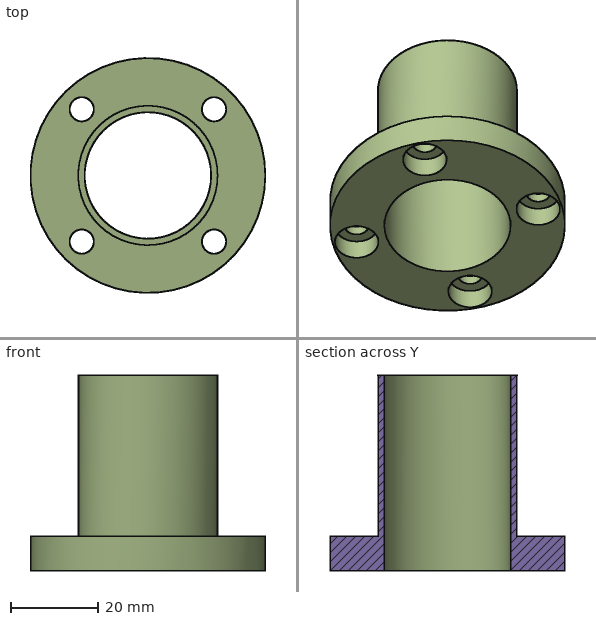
import cadquery as cq

flange_diameter = 54.0
flange_thickness = 8.0
total_height = 45.0
tube_outer_diameter = 32.0
bore_diameter = 29.0
bolt_hole_diameter = 5.5
counterbore_diameter = 10.0
counterbore_depth = 5.4
bolt_circle_diameter = 43.0
bolt_hole_count = 4
first_bolt_angle = 45.0


def make_flange():
    """Round base flange, resting on Z = 0."""
    return cq.Workplane("XY").circle(flange_diameter / 2).extrude(flange_thickness)


def make_tube():
    """Upright tube, solid until the bore is cut."""
    return cq.Workplane("XY").circle(tube_outer_diameter / 2).extrude(total_height)


def make_bore():
    """Cutter for the bore through the tube and flange."""
    return cq.Workplane("XY").circle(bore_diameter / 2).extrude(total_height)


def make_bolt_cutters(diameter, depth):
    """Cylinders on the bolt circle, rising from the underside of the flange."""
    return (
        cq.Workplane("XY")
        .polarArray(bolt_circle_diameter / 2, first_bolt_angle, 360, bolt_hole_count)
        .circle(diameter / 2)
        .extrude(depth)
    )


body = make_flange().union(make_tube()).cut(make_bore())

bolt_holes = make_bolt_cutters(bolt_hole_diameter, flange_thickness)
counterbores = make_bolt_cutters(counterbore_diameter, counterbore_depth)

result = body.cut(bolt_holes).cut(counterbores)